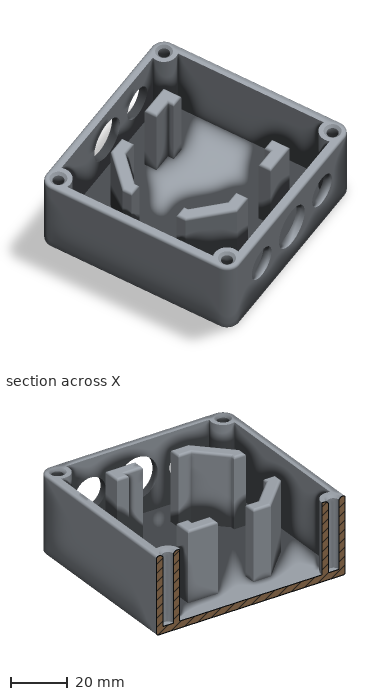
import cadquery as cq
import math

SIZE = 80.0
HEIGHT = 32.0
CORNER_RADIUS = 5.0
EDGE_BREAK = 1.0
WALL = 3.3
FLOOR = 3.0

BOSS_RADIUS = 5.0
BOSS_POSITION = SIZE / 2 - CORNER_RADIUS
SCREW_DIAMETER = 4.3
SCREW_DEPTH = HEIGHT - FLOOR
SCREW_CHAMFER = 1.0

POST_THICKNESS = 5.0
POST_OUTER_X = 26.2
POST_TOP = HEIGHT
POST_FILLET = 1.0
BACK_POST_Y = 20.6
BACK_POST_LENGTH = 12.6
BACK_POST_WIDTH = 7.4
FRONT_POST_END_Y = -7.0
FRONT_POST_Y = -27.5
FRONT_POST_TIP_X = 9.25
FRONT_CORNER_CUT = 13.1
FRONT_INNER_CUT = FRONT_CORNER_CUT - POST_THICKNESS * (2 - math.sqrt(2))

HOLE_Z = 17.75
SMALL_HOLE = 13.0
LARGE_HOLE = 17.0
HOLE_PITCH = 20.0
LEFT_WALL_HOLES = [(HOLE_PITCH, SMALL_HOLE), (0.0, LARGE_HOLE)]
RIGHT_WALL_HOLES = LEFT_WALL_HOLES + [(-HOLE_PITCH, SMALL_HOLE)]


def shell():
    """Open box with rounded corners and softened outer edges."""
    body = cq.Workplane("XY").box(SIZE, SIZE, HEIGHT, centered=(True, True, False))
    body = body.edges("|Z").fillet(CORNER_RADIUS)
    body = body.faces("<Z or >Z").edges().fillet(EDGE_BREAK)
    inner = SIZE - 2 * WALL
    cavity = cq.Workplane("XY").workplane(offset=FLOOR).rect(inner, inner).extrude(HEIGHT - FLOOR)
    bosses = (
        cq.Workplane("XY")
        .rect(2 * BOSS_POSITION, 2 * BOSS_POSITION, forConstruction=True)
        .vertices()
        .circle(BOSS_RADIUS)
        .extrude(HEIGHT)
    )
    return body.cut(cavity.cut(bosses))


def screw_holes():
    """Cutters for the blind screw holes with a chamfered mouth, one per corner boss."""
    radius = SCREW_DIAMETER / 2
    hole = (
        cq.Workplane("XZ")
        .moveTo(0, HEIGHT)
        .lineTo(radius + SCREW_CHAMFER, HEIGHT)
        .lineTo(radius, HEIGHT - SCREW_CHAMFER)
        .lineTo(radius, HEIGHT - SCREW_DEPTH)
        .lineTo(0, HEIGHT - SCREW_DEPTH)
        .close()
        .revolve(360, (0, 0, 0), (0, 1, 0))
    )
    holes = cq.Workplane("XY")
    for x in (-BOSS_POSITION, BOSS_POSITION):
        for y in (-BOSS_POSITION, BOSS_POSITION):
            holes = holes.add(hole.translate((x, y, 0)))
    return holes.combine()


def post(outline):
    """Post standing on the floor with a rounded top edge, from its plan outline."""
    body = cq.Workplane("XY", origin=(0, 0, FLOOR)).polyline(outline).close().extrude(POST_TOP - FLOOR)
    return body.faces(">Z").edges().fillet(POST_FILLET)


def back_post():
    """L-shaped post on the left, toward the back wall."""
    left = -POST_OUTER_X
    inner_x = left + POST_THICKNESS
    arm_x = left + BACK_POST_WIDTH
    arm_y = BACK_POST_Y - POST_THICKNESS
    end_y = BACK_POST_Y - BACK_POST_LENGTH
    return post([
        (left, BACK_POST_Y),
        (arm_x, BACK_POST_Y),
        (arm_x, arm_y),
        (inner_x, arm_y),
        (inner_x, end_y),
        (left, end_y),
    ])


def front_post():
    """Post on the left, toward the front wall, wrapping a corner cut at 45 degrees."""
    left = -POST_OUTER_X
    inner_x = left + POST_THICKNESS
    inner_y = FRONT_POST_Y + POST_THICKNESS
    return post([
        (left, FRONT_POST_END_Y),
        (inner_x, FRONT_POST_END_Y),
        (inner_x, inner_y + FRONT_INNER_CUT),
        (inner_x + FRONT_INNER_CUT, inner_y),
        (-FRONT_POST_TIP_X, inner_y),
        (-FRONT_POST_TIP_X, FRONT_POST_Y),
        (left + FRONT_CORNER_CUT, FRONT_POST_Y),
        (left, FRONT_POST_Y + FRONT_CORNER_CUT),
    ])


def wall_holes(holes, start_x):
    """Cutters for the round holes of one side wall, running in +X from start_x."""
    drills = cq.Workplane("YZ")
    for y, diameter in holes:
        drill = cq.Workplane("YZ", origin=(start_x, y, HOLE_Z)).circle(diameter / 2).extrude(WALL)
        drills = drills.add(drill)
    return drills.combine()


result = shell().cut(screw_holes())
for left_post in (back_post(), front_post()):
    result = result.union(left_post).union(left_post.mirror("YZ"))
result = result.cut(wall_holes(LEFT_WALL_HOLES, -SIZE / 2))
result = result.cut(wall_holes(RIGHT_WALL_HOLES, SIZE / 2 - WALL))